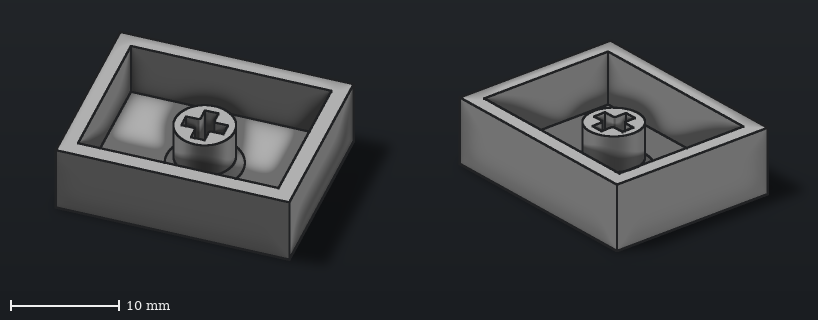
import cadquery as cq
import math

overall_x = 23.1
body_width = 18.05
body_height = 6.9
body_turn = -0.87
turn_angle = math.radians(abs(body_turn))
body_length = (overall_x - body_width * math.sin(turn_angle)) / math.cos(turn_angle)
wall = 1.62
cavity_depth = 5.5

stem_diameter = 5.8
stem_recess = 1.0
flare_size = 0.8

cross_span = 4.06
cross_arm_width = 1.32
cross_corner_radius = 0.25

floor_z = body_height - cavity_depth
stem_height = cavity_depth - stem_recess


def block(length, width, height, base_z):
    """Box centred on the Z axis, standing on base_z."""
    return cq.Workplane("XY", origin=(0, 0, base_z)).rect(length, width).extrude(height)


def make_shell():
    outside = block(body_length, body_width, body_height, 0)
    cavity = block(body_length - 2 * wall, body_width - 2 * wall, cavity_depth, floor_z)
    return outside.cut(cavity).rotate((0, 0, 0), (0, 0, 1), body_turn)


def make_stem():
    """Round post with a conical foot."""
    radius = stem_diameter / 2
    profile = [
        (0, 0),
        (radius + flare_size, 0),
        (radius, flare_size),
        (radius, stem_height),
        (0, stem_height),
    ]
    stem = cq.Workplane("XZ").polyline(profile).close().revolve(360, (0, 0, 0), (0, 1, 0))
    return stem.translate((0, 0, floor_z))


def make_cross():
    """Plus-shaped socket with its four inner corners rounded."""
    arm_x = block(cross_span, cross_arm_width, stem_height, floor_z)
    arm_y = block(cross_arm_width, cross_span, stem_height, floor_z)
    inner_corners = cq.selectors.BoxSelector(
        (-cross_arm_width, -cross_arm_width, 0),
        (cross_arm_width, cross_arm_width, body_height),
    )
    return arm_x.union(arm_y).edges("|Z").edges(inner_corners).fillet(cross_corner_radius)


result = make_shell().union(make_stem()).cut(make_cross())